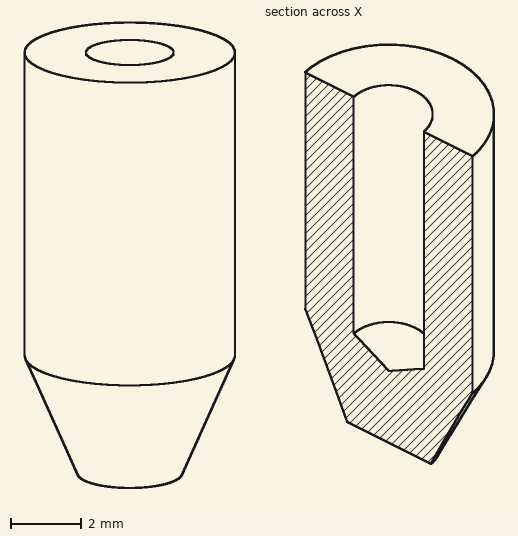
import cadquery as cq
import math

length = 12.5
body_diameter = 6.0
tip_diameter = 3.0
taper_length = 3.5
bore_diameter = 2.5
drill_point_angle = 118.0

body_radius = body_diameter / 2
tip_radius = tip_diameter / 2
bore_radius = bore_diameter / 2
bore_bottom = taper_length
drill_point_depth = bore_radius / math.tan(math.radians(drill_point_angle / 2))

half_section = (
    cq.Workplane("XZ")
    .moveTo(0, 0)
    .lineTo(tip_radius, 0)
    .lineTo(body_radius, taper_length)
    .lineTo(body_radius, length)
    .lineTo(bore_radius, length)
    .lineTo(bore_radius, bore_bottom)
    .lineTo(0, bore_bottom - drill_point_depth)
    .close()
)

result = half_section.revolve(360, (0, 0, 0), (0, 1, 0))